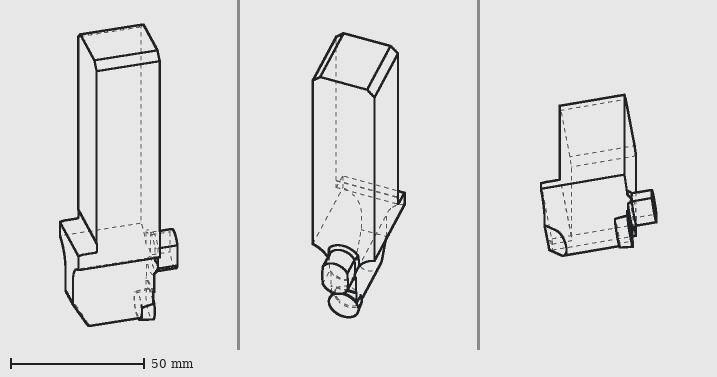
import cadquery as cq
import math

width = 24.9
total_height = 125.0
shank_depth = 24.7
top_chamfer = 3.0

front_depth = 31.9
shoulder_height = 41.0
shoulder_bevel_depth = 1.6
shoulder_bevel_drop = 0.4
relief_height = 45.0
relief_depth = 0.1
corner_fillet = 0.6

blade_width = 10.1
blade_radius = blade_width / 2
blade_bottom = 1.4
blade_center_height = blade_bottom + blade_radius
cove_radius = 10.5
cove_start_height = 24.4
heel_height = 14.5
heel_bottom_depth = 24.5
rake_step = 0.4
rake_step_height = 14.4

spigot_length = 9.1
spigot_height = 15.7
spigot_width = 10.4
spigot_center_height = 29.0
spigot_arc_rise = 3.4
spigot_side_bulge = 0.2
flare_length = 1.5
flare_growth = 1.0

insert_radius = 6.0
insert_back_radius = 5.5
insert_thickness = 4.9


def make_front_outline(depth):
    """Outline across X, extruded from Y = spigot end towards -Y."""
    half = width / 2
    cove_center_x = blade_radius + cove_radius
    cove_center_z = cove_start_height
    cove_end_z = cove_center_z + math.sqrt(cove_radius**2 - (cove_center_x - half)**2)
    end_angle = math.atan2(cove_end_z - cove_center_z, cove_center_x - half)
    middle_x = cove_center_x - cove_radius * math.cos(end_angle / 2)
    middle_z = cove_center_z + cove_radius * math.sin(end_angle / 2)
    return (
        cq.Workplane("XZ", origin=(0, spigot_length, 0))
        .moveTo(-blade_radius, blade_center_height)
        .threePointArc((0, blade_bottom), (blade_radius, blade_center_height))
        .lineTo(blade_radius, cove_start_height)
        .threePointArc((middle_x, middle_z), (half, cove_end_z))
        .lineTo(half, total_height - top_chamfer)
        .lineTo(half - top_chamfer, total_height)
        .lineTo(-half + top_chamfer, total_height)
        .lineTo(-half, total_height - top_chamfer)
        .lineTo(-half, cove_end_z)
        .threePointArc((-middle_x, middle_z), (-blade_radius, cove_start_height))
        .close()
        .extrude(depth)
    )


def make_side_profile():
    """Shank, shoulder and sloping heel, drawn in the YZ plane and extruded across X."""
    relief_y = -shank_depth + relief_depth
    return (
        cq.Workplane("YZ")
        .moveTo(0, total_height)
        .lineTo(-shank_depth, total_height)
        .lineTo(-shank_depth, relief_height)
        .lineTo(relief_y, relief_height - relief_depth)
        .lineTo(relief_y, shoulder_height + corner_fillet)
        .radiusArc((relief_y - corner_fillet, shoulder_height), corner_fillet)
        .lineTo(-front_depth + shoulder_bevel_depth, shoulder_height)
        .lineTo(-front_depth, shoulder_height - shoulder_bevel_drop)
        .lineTo(-front_depth, heel_height)
        .lineTo(-heel_bottom_depth, blade_bottom)
        .lineTo(-rake_step, blade_bottom)
        .lineTo(-rake_step, rake_step_height)
        .lineTo(0, rake_step_height)
        .close()
        .extrude(width / 2, both=True)
    )


def draw_spigot_section(y, growth):
    """Oblong section with slightly bulged sides and arched ends, enlarged all round by growth."""
    half_width = spigot_width / 2 + growth
    half_height = spigot_height / 2 + growth
    corner_x = half_width - spigot_side_bulge
    corner_z = half_height - spigot_arc_rise
    return (
        cq.Workplane("XZ", origin=(0, y, spigot_center_height))
        .moveTo(-corner_x, -corner_z)
        .threePointArc((0, -half_height), (corner_x, -corner_z))
        .threePointArc((half_width, 0), (corner_x, corner_z))
        .threePointArc((0, half_height), (-corner_x, corner_z))
        .threePointArc((-half_width, 0), (-corner_x, -corner_z))
        .close()
    )


def make_spigot():
    spigot = draw_spigot_section(spigot_length, 0).extrude(spigot_length)
    root_wire = draw_spigot_section(0, flare_growth).val()
    neck_wire = draw_spigot_section(flare_length, 0).val()
    flare = cq.Solid.makeLoft([root_wire, neck_wire], True)
    return spigot.union(cq.Workplane(flare))


def make_insert():
    """Round insert whose larger face lies flush with the back of the shank."""
    return cq.Workplane(
        cq.Solid.makeCone(
            insert_radius,
            insert_back_radius,
            insert_thickness,
            pnt=cq.Vector(0, 0, insert_radius),
            dir=cq.Vector(0, -1, 0),
        )
    )


def make_holder(insert):
    outline = make_front_outline(spigot_length + front_depth)
    envelope = make_side_profile().union(make_spigot())
    return outline.intersect(envelope).cut(insert)


insert = make_insert()
holder = make_holder(insert)

result = cq.Compound.makeCompound([holder.solids().val(), insert.val()])